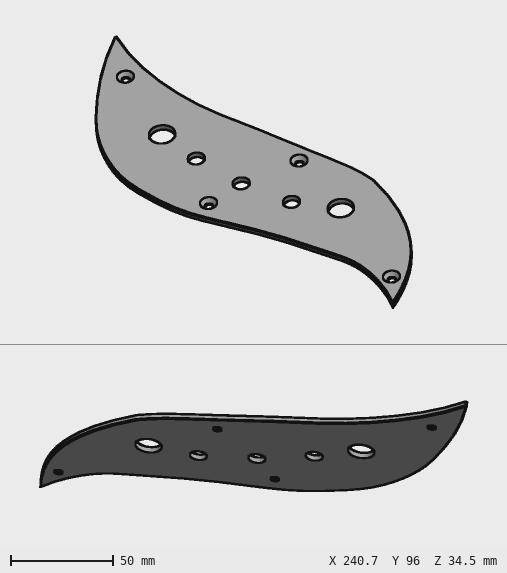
import cadquery as cq
import math

tilt_degrees = 7.5
thickness = 3.1
edge_chamfer = 0.5
stretch = 1 / math.cos(math.radians(tilt_degrees))

overall_length = 240.7
rim_lean = (thickness - 2 * edge_chamfer) * math.sin(math.radians(tilt_degrees))
tip_x = (overall_length - rim_lean) / 2

large_hole_diameter = 13.0
small_hole_diameter = 8.5
screw_hole_diameter = 4.0
screw_head_diameter = 8.5
countersink_angle = 90

large_holes = [(-49.0, -15.0), (48.6, 23.8)]
small_holes = [(-24.5, -11.5), (3.5, -4.3), (29.8, 7.5)]
screw_holes = [(-93.9, -5.8), (8.2, 27.0), (5.0, -24.8), (104.0, 15.6)]

left_tip_top = (-tip_x, 7.2)
left_tip_bottom = (-tip_x, 6.0)
right_tip = (tip_x, 5.0)
crest = (42.1, 48.0)
upper_left_edge = [(-98.0, 4.8), (-74.9, 6.7), (-51.5, 12.5), (-22.6, 24.3), (6.5, 35.9), (23.8, 43.0)]
upper_right_edge = [(64.5, 46.0), (81.8, 41.0), (99.2, 30.8), (110.7, 19.3)]
lower_edge = [
    (99.2, 8.7), (81.8, 6.3), (70.3, 1.0), (47.0, -10.8), (23.8, -24.8), (0.7, -38.5),
    (-16.8, -44.5), (-37.5, -48.0), (-51.5, -46.2), (-69.0, -40.0), (-86.5, -28.5), (-103.7, -13.2),
]


def on_slope(points):
    """Convert plan positions to positions along the sloping plate."""
    return [(x * stretch, y) for x, y in points]


def leaf_plate():
    """Flat leaf with both rims chamfered; the top face lies at Z = 0."""
    outline = (
        cq.Workplane("XY", origin=(0, 0, -thickness))
        .moveTo(*on_slope([left_tip_top])[0])
        .spline(on_slope(upper_left_edge + [crest]), includeCurrent=True)
        .spline(on_slope(upper_right_edge + [right_tip]), includeCurrent=True)
        .spline(on_slope(lower_edge + [left_tip_bottom]), includeCurrent=True)
        .close()
    )
    return outline.extrude(thickness).faces("|Z").chamfer(edge_chamfer)


def drill(plate, positions, diameter):
    """Drill plain through holes from the top face."""
    return plate.faces(">Z").workplane(origin=(0, 0, 0)).pushPoints(on_slope(positions)).hole(diameter)


def drill_screw_holes(plate):
    """Drill countersunk through holes from the top face."""
    return (
        plate.faces(">Z").workplane(origin=(0, 0, 0))
        .pushPoints(on_slope(screw_holes))
        .cskHole(screw_hole_diameter, screw_head_diameter, countersink_angle)
    )


plate = leaf_plate()
plate = drill(plate, large_holes, large_hole_diameter)
plate = drill(plate, small_holes, small_hole_diameter)
plate = drill_screw_holes(plate)

result = plate.rotate((0, 0, 0), (0, 1, 0), -tilt_degrees)